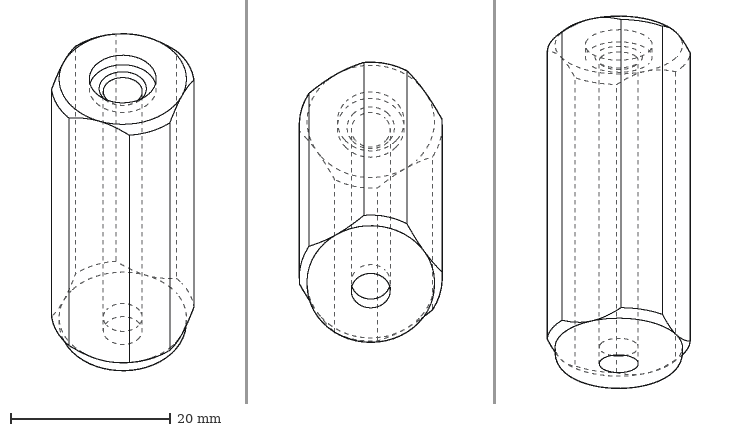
import cadquery as cq

total_height = 45.0
body_diameter = 18.0
across_flats = 16.0
cap_height = 2.35
cap_edge_radius = 1.55
bore_diameter = 4.9
bore_mouth_diameter = 5.95
recess_diameter = 8.4
recess_depth = 1.7

body_height = total_height - cap_height
end_chamfer = (body_diameter - across_flats) / 2
bore_mouth_chamfer = (bore_mouth_diameter - bore_diameter) / 2
recess_floor = total_height - recess_depth


def cylinder(diameter, bottom, height):
    """Solid cylinder on the Z axis."""
    return cq.Workplane("XY").workplane(offset=bottom).circle(diameter / 2).extrude(height)


def make_body():
    """Round bar with four diagonal flats, chamfered ends and a recessed bore."""
    bar = cylinder(body_diameter, cap_height, body_height).edges("%CIRCLE").chamfer(end_chamfer)
    flats = (
        cq.Workplane("XY")
        .workplane(offset=cap_height)
        .transformed(rotate=(0, 0, 45))
        .rect(across_flats, across_flats)
        .extrude(body_height)
    )
    return bar.intersect(flats)


def make_bore_cutter():
    """Revolved profile of the bore, its chamfered mouth and the top recess."""
    return (
        cq.Workplane("XZ")
        .lineTo(bore_diameter / 2, 0)
        .lineTo(bore_diameter / 2, recess_floor - bore_mouth_chamfer)
        .lineTo(bore_mouth_diameter / 2, recess_floor)
        .lineTo(recess_diameter / 2, recess_floor)
        .lineTo(recess_diameter / 2, total_height)
        .lineTo(0, total_height)
        .close()
        .revolve()
    )


def make_cap():
    """Disc under the body with a rounded lower edge."""
    return cylinder(across_flats, 0, cap_height).faces("<Z").edges().fillet(cap_edge_radius)


bore_cutter = make_bore_cutter()
body = make_body().cut(bore_cutter)
cap = make_cap().cut(bore_cutter)

result = cq.Compound.makeCompound([body.val(), cap.val()])